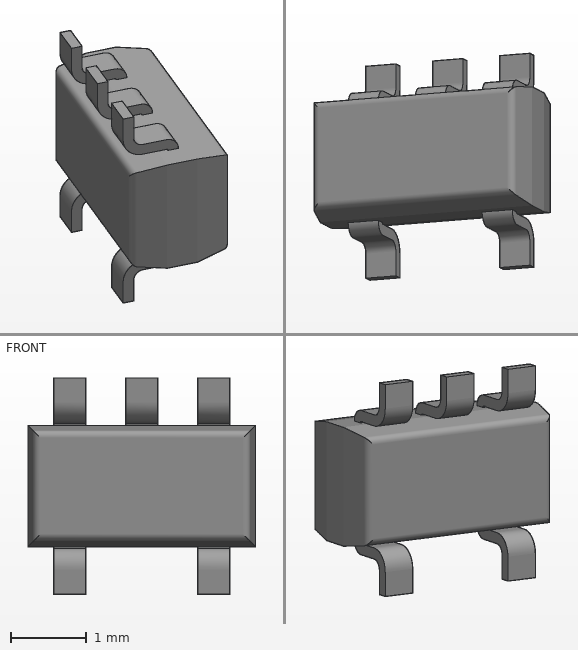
import cadquery as cq
import math

length = 3.0
height = 1.6
depth = 1.385
band_depth = 0.425
taper_angle = 10.0
edge_radius = 0.095

lead_width = 0.425
lead_thickness = 0.15
lead_pitch = 0.948
span = 2.85
foot_standoff = 0.015
lead_reach = 0.78
root_inner_radius = 0.02
foot_inner_radius = 0.13
root_outer_radius = root_inner_radius + lead_thickness
foot_outer_radius = foot_inner_radius + lead_thickness


def make_housing():
    """Block tapering towards both Y faces, with the face edges rounded."""
    front_plane = cq.Plane(origin=(0, -band_depth / 2, 0), xDir=(1, 0, 0), normal=(0, -1, 0))
    back_plane = cq.Plane(origin=(0, band_depth / 2, 0), xDir=(1, 0, 0), normal=(0, 1, 0))
    taper_depth = (depth - band_depth) / 2
    body = cq.Workplane("XY").box(length, band_depth, height)
    for plane in (front_plane, back_plane):
        half = cq.Workplane(plane).rect(length, height).extrude(taper_depth, taper=taper_angle)
        body = body.union(half)
    return body.faces("<Y or >Y").edges().fillet(edge_radius)


def arc_middle(center_y, center_z, radius, y_side, z_side):
    """Middle point of a quarter arc lying in the given quadrant."""
    offset = radius * math.sqrt(0.5)
    return (center_y + y_side * offset, center_z + z_side * offset)


def make_upper_lead(x_center):
    """Bent strip from the top of the housing, forward along -Y, then up to its tip."""
    foot_front = -depth / 2 - foot_standoff
    foot_back = foot_front + lead_thickness
    root_back = foot_front + lead_reach
    root_front = root_back - lead_thickness
    root_z = height / 2
    tip_z = span / 2
    arm_bottom = root_z + root_inner_radius
    arm_top = root_z + root_outer_radius
    root_y = root_back - root_outer_radius
    foot_y = foot_front + foot_outer_radius
    foot_z = arm_bottom + foot_outer_radius
    profile = (
        cq.Workplane("YZ", origin=(x_center - lead_width / 2, 0, 0))
        .moveTo(root_back, root_z)
        .threePointArc(arc_middle(root_y, root_z, root_outer_radius, 1, 1), (root_y, arm_top))
        .lineTo(foot_y, arm_top)
        .threePointArc(arc_middle(foot_y, foot_z, foot_inner_radius, -1, -1), (foot_back, foot_z))
        .lineTo(foot_back, tip_z)
        .lineTo(foot_front, tip_z)
        .lineTo(foot_front, foot_z)
        .threePointArc(arc_middle(foot_y, foot_z, foot_outer_radius, -1, -1), (foot_y, arm_bottom))
        .lineTo(root_y, arm_bottom)
        .threePointArc(arc_middle(root_y, root_z, root_inner_radius, 1, 1), (root_front, root_z))
        .close()
    )
    return profile.extrude(lead_width)


housing = make_housing()

upper_leads = [make_upper_lead(x) for x in (-lead_pitch, 0, lead_pitch)]
lower_leads = [make_upper_lead(x).mirror("XY") for x in (-lead_pitch, lead_pitch)]

result = cq.Compound.makeCompound(
    [housing.solids().val(), *[lead.val() for lead in upper_leads + lower_leads]]
)